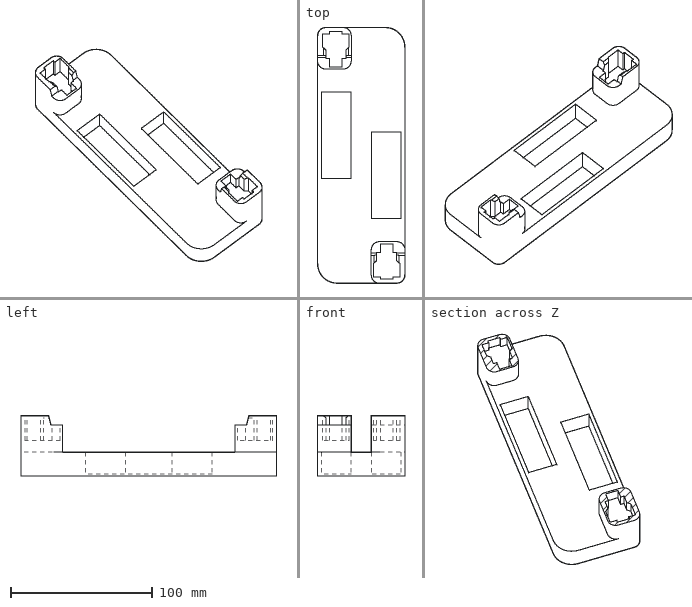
import cadquery as cq

plate_width = 62.0
plate_length = 181.4
plate_height = 17.0
plate_corner_radius = 14.0

post_width = 24.0
post_length = 29.5
post_top = 43.0
post_corner_radius = 6.0

ledge_drop = 6.5
slope_start = 19.8
slope_end = 21.4

socket_centre = 13.0
socket_floor = 25.2
tab_half_width = 8.9 / 2
wide_half_width = 18.7 / 2
narrow_half_width = 14.0 / 2
outer_tab_end = 2.9
wide_start = 4.5
taper_start = 14.0
taper_end = 16.1
narrow_end = 22.0
inner_tab_end = 28.0

lip_chamfer_width = 1.8
lip_chamfer_height = 1.8

pocket_width = 21.0
pocket_length = 61.3
pocket_side_wall = 2.7
pocket_end_distance = 45.9
pocket_depth = 15.5

left_side = -plate_width / 2
back_end = plate_length / 2


def box_from_corner(distance_from_side, distance_from_end, bottom, width, length, height):
    """Box measured from the left side and the back end of the plate."""
    return (
        cq.Workplane("XY")
        .box(width, length, height, centered=False)
        .translate((left_side + distance_from_side, back_end - distance_from_end - length, bottom))
    )


def with_opposite(shape):
    """The shape together with its copy turned half a turn about the Z axis."""
    return shape.union(shape.rotate((0, 0, 0), (0, 0, 1), 180))


def make_plate():
    """Plate whose two post-free corners carry the large radius."""
    return (
        cq.Workplane("XY")
        .box(plate_width, plate_length, plate_height, centered=(True, True, False))
        .edges("|Z and ((>X and >Y) or (<X and <Y))")
        .fillet(plate_corner_radius)
        .edges("|Z and ((<X and >Y) or (>X and <Y))")
        .fillet(post_corner_radius)
    )


def make_post():
    """Solid post with a sloped step down to the ledge."""
    post = box_from_corner(0, 0, 0, post_width, post_length, post_top)
    post = post.edges("|Z").fillet(post_corner_radius)
    ledge_height = post_top - ledge_drop
    step_cut = (
        cq.Workplane("YZ", origin=(left_side, 0, 0))
        .polyline([
            (back_end - slope_start, post_top),
            (back_end - slope_end, ledge_height),
            (back_end - post_length, ledge_height),
            (back_end - post_length, post_top),
        ])
        .close()
        .extrude(post_width)
    )
    return post.cut(step_cut)


def make_socket():
    """Keyed socket with chamfered lips where it narrows."""
    right_half = [
        (tab_half_width, outer_tab_end),
        (tab_half_width, wide_start),
        (wide_half_width, wide_start),
        (wide_half_width, taper_start),
        (narrow_half_width, taper_end),
        (narrow_half_width, narrow_end),
        (tab_half_width, narrow_end),
        (tab_half_width, inner_tab_end),
    ]
    left_half = [(-x, y) for x, y in reversed(right_half)]
    centre_x = left_side + socket_centre
    outline = [(centre_x + x, back_end - y) for x, y in right_half + left_half]
    socket = (
        cq.Workplane("XY", origin=(0, 0, socket_floor))
        .polyline(outline)
        .close()
        .extrude(post_top - socket_floor)
    )
    lip_top = narrow_half_width + lip_chamfer_width
    lip_bottom = post_top - lip_chamfer_height
    lip_cut = (
        cq.Workplane("XZ", origin=(centre_x, back_end - taper_start, 0))
        .polyline([
            (-lip_top, post_top),
            (lip_top, post_top),
            (narrow_half_width, lip_bottom),
            (-narrow_half_width, lip_bottom),
        ])
        .close()
        .extrude(slope_end - taper_start)
    )
    return socket.union(lip_cut)


pocket = box_from_corner(
    pocket_side_wall, pocket_end_distance, plate_height - pocket_depth,
    pocket_width, pocket_length, pocket_depth,
)

result = (
    make_plate()
    .union(with_opposite(make_post()))
    .cut(with_opposite(make_socket()))
    .cut(with_opposite(pocket))
)